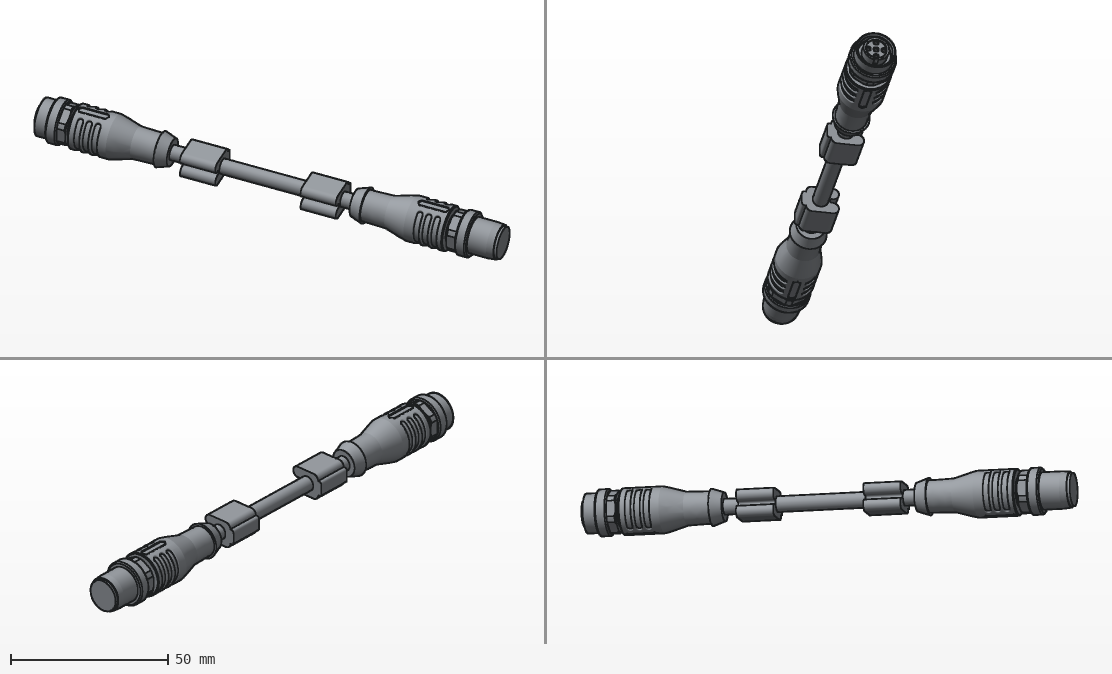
import cadquery as cq
import math


total_length = 160.4
cable_dia = 5.1
socket_body_back = 46.0
plug_body_back = 109.2
clip_starts = (51.2, 92.9)

grip_dia = 15.0
body_length = 33.2
flare_end = 4.0
flare_small_dia = 9.3
flare_large_dia = 12.0
sleeve_dia = 10.5
waist = 12.4
waist_dia = 10.9
shoulder = 19.9
shoulder_mid_dia = 13.2
grip_edge = 0.3

groove_floor_dia = 13.8
groove_width = 2.0
groove_pitch = 3.0
groove_first = 24.0
groove_count = 3
groove_end = 3.0
groove_edge_radius = 0.3
recess_floor = 7.0
recess_width = 2.4
recess_start = 21.8
recess_length = 10.7
recess_point = 0.8

neck_dia = 9.3
ring_dia = 15.0
ring_length = 3.8
ring_chamfer = 0.5
hex_flats = 12.8
hex_corner_dia = 13.8
hex_bevel = 0.3

socket_dia = 8.3
socket_face_dia = 6.7
socket_face_depth = 0.5
collar_start = 1.0
collar_dia = 12.8
collar_mouth_dia = 12.4
collar_bore_dia = 11.2
collar_bore_depth = 2.9
socket_ring_start = 5.0
socket_hex_length = 2.9
seal_outer_dia = 10.7
seal_section_dia = 1.3
contact_hole_dia = 1.15
contact_mouth_dia = 1.8
contact_hole_depth = 4.8
contact_circle_dia = 5.1
contact_count = 4
keyway_dia = 1.3

plug_ring_end = 150.5
plug_hex_length = 3.2
thread_dia = 12.0
thread_end = 157.0
tip_cone_dia = 11.5
tip_dia = 10.7
tip_start = 159.5

clip_length = 12.2
clip_height = 9.1
clip_width = 12.0
clip_lobe = 2.0
clip_flat_end = 2.7
clip_lip_radius = 1.0
clip_slot_floor = -3.0


def rod(dia, start, end):
    """Cylinder along X between two stations."""
    return cq.Workplane("YZ").workplane(offset=start).circle(dia / 2).extrude(end - start)


def cone(start_dia, end_dia, start, end):
    """Truncated cone along X between two stations."""
    return (
        cq.Workplane("YZ").workplane(offset=start).circle(start_dia / 2)
        .workplane(offset=end - start).circle(end_dia / 2).loft()
    )


def body_blank():
    """Body of revolution with its cable end at x = 0 and its grip toward +X."""
    grip_radius = grip_dia / 2
    return (
        cq.Workplane("XY")
        .moveTo(0, 0)
        .lineTo(0, flare_small_dia / 2)
        .lineTo(flare_end, flare_large_dia / 2)
        .lineTo(flare_end, sleeve_dia / 2)
        .lineTo(waist, waist_dia / 2)
        .threePointArc(((waist + shoulder) / 2, shoulder_mid_dia / 2), (shoulder, grip_radius))
        .lineTo(body_length - grip_edge, grip_radius)
        .lineTo(body_length, grip_radius - grip_edge)
        .lineTo(body_length, 0)
        .close()
        .revolve(360, (0, 0, 0), (1, 0, 0))
    )


def finger_grooves():
    """Cutter for the shallow grooves around both flanks; each groove has round ends."""
    slots = cq.Workplane("XY")
    for index in range(groove_count):
        for side in (1, -1):
            slot = (
                cq.Workplane("XY")
                .center(groove_first + index * groove_pitch, side * (groove_end + grip_dia / 2))
                .slot2D(grip_dia, groove_width, 90)
                .extrude(grip_dia / 2, both=True)
            )
            slots = slots.add(slot)
    shell = rod(grip_dia + 1.6, 0, body_length).cut(rod(groove_floor_dia, 0, body_length))
    return slots.combine().intersect(shell)


def is_groove_rim(edge):
    """True for a groove edge that lies on the grip's outer surface."""
    start_of_rims = groove_first - groove_width
    end_of_rims = groove_first + (groove_count - 1) * groove_pitch + groove_width
    if edge.geomType() == "LINE" or not start_of_rims < edge.Center().x < end_of_rims:
        return False
    tolerance = 0.02
    for fraction in (0.1, 0.4, 0.9):
        point = edge.positionAt(fraction)
        if abs(math.hypot(point.y, point.z) - grip_dia / 2) > tolerance:
            return False
    return True


def flat_recesses():
    """Cutter for the flat-floored recesses with pointed ends, above and below."""
    half = recess_width / 2
    end = recess_start + recess_length
    outline = [
        (recess_start, 0),
        (recess_start + recess_point, half),
        (end - recess_point, half),
        (end, 0),
        (end - recess_point, -half),
        (recess_start + recess_point, -half),
    ]
    upper = (
        cq.Workplane("XY").workplane(offset=recess_floor)
        .polyline(outline).close().extrude(grip_dia / 2 - recess_floor)
    )
    return upper.union(upper.mirror("XY"))


def moulded_body():
    """Complete moulded body with rounded groove rims."""
    grooved = body_blank().cut(finger_grooves())
    rims = [edge for edge in grooved.edges().vals() if is_groove_rim(edge)]
    return grooved.newObject(rims).fillet(groove_edge_radius).cut(flat_recesses())


def hexagon(start, end, bevelled_end):
    """Hexagon with flats facing +-Y and rounded corners, bevelled at one end."""
    prism = (
        cq.Workplane("YZ").workplane(offset=start)
        .transformed(rotate=(0, 0, 90))
        .polygon(6, hex_flats / math.cos(math.pi / 6))
        .extrude(end - start)
    )
    corners = rod(hex_corner_dia, start, end).faces(bevelled_end).chamfer(hex_bevel)
    return prism.intersect(corners)


def ring(start):
    """Chamfered coupling ring."""
    return rod(ring_dia, start, start + ring_length).edges("%CIRCLE").chamfer(ring_chamfer)


def seal(seat):
    """Sealing ring around the socket insert, half sunk into its seat."""
    centre_radius = (seal_outer_dia - seal_section_dia) / 2
    return cq.Workplane("XY").add(
        cq.Solid.makeTorus(centre_radius, seal_section_dia / 2, cq.Vector(seat, 0, 0), cq.Vector(1, 0, 0))
    )


def socket_nut(bore_end):
    """Coupling nut at the -X end, bored from the front."""
    ring_end = socket_ring_start + ring_length
    mouth_depth = (collar_mouth_dia - collar_bore_dia) / 2
    nut = rod(collar_dia, collar_start, socket_ring_start)
    nut = nut.cut(rod(collar_bore_dia, collar_start, bore_end))
    nut = nut.cut(cone(collar_mouth_dia, collar_bore_dia, collar_start, collar_start + mouth_depth))
    nut = nut.union(ring(socket_ring_start))
    nut = nut.union(hexagon(ring_end, ring_end + socket_hex_length, ">X"))
    return nut.union(rod(neck_dia, ring_end, socket_body_back - body_length))


def socket_end():
    """Coupling nut, sealing ring and socket insert with its contact holes."""
    bore_end = collar_start + collar_bore_depth
    end = socket_nut(bore_end).union(rod(socket_dia, 0, socket_ring_start)).union(seal(bore_end))
    end = end.cut(rod(socket_face_dia, 0, socket_face_depth))

    mouth_depth = (contact_mouth_dia - contact_hole_dia) / 2
    mouth_end = socket_face_depth + mouth_depth
    hole = rod(contact_hole_dia, socket_face_depth, contact_hole_depth)
    hole = hole.union(cone(contact_mouth_dia, contact_hole_dia, socket_face_depth, mouth_end))
    end = end.cut(hole)
    contact = hole.translate((0, contact_circle_dia / 2, 0))
    for index in range(contact_count):
        end = end.cut(contact.rotate((0, 0, 0), (1, 0, 0), index * 360 / contact_count))

    keyway = rod(keyway_dia, 0, bore_end - seal_section_dia / 2)
    return end.cut(keyway.translate((0, 0, -socket_dia / 2)))


def plug_end():
    """Coupling nut and nose at the +X end."""
    ring_start = plug_ring_end - ring_length
    end = ring(ring_start)
    end = end.union(hexagon(ring_start - plug_hex_length, ring_start, "<X"))
    end = end.union(rod(neck_dia, plug_body_back + body_length, ring_start))
    end = end.union(rod(thread_dia, ring_start, thread_end))
    end = end.union(cone(thread_dia, tip_cone_dia, thread_end, tip_start))
    return end.union(rod(tip_dia, tip_start, total_length))


def clip(start):
    """Cable clip: two round lobes with a slot between them at -Y, a raised lip at +Y."""
    diagonal = math.sqrt(0.5)
    side = clip_width / 2
    top = clip_height / 2
    lobe_height = top - clip_lobe
    lobe_y = clip_lobe - side
    slot_half = top - 2 * clip_lobe
    slot_bend = slot_half * (1 - diagonal)
    lip_bend = clip_lip_radius * (1 - diagonal)
    upper_half = (
        cq.Workplane("YZ").workplane(offset=start)
        .moveTo(clip_slot_floor, 0)
        .threePointArc(
            (clip_slot_floor - slot_bend, slot_half * diagonal),
            (clip_slot_floor - slot_half, slot_half),
        )
        .lineTo(lobe_y, slot_half)
        .threePointArc((-side, lobe_height), (lobe_y, top))
        .lineTo(clip_flat_end, top)
        .threePointArc(
            (clip_flat_end + clip_lobe * diagonal, lobe_height + clip_lobe * diagonal),
            (clip_flat_end + clip_lobe, lobe_height),
        )
        .lineTo(side - clip_lip_radius, lobe_height)
        .threePointArc((side - lip_bend, lobe_height - lip_bend), (side, lobe_height - clip_lip_radius))
        .lineTo(side, 0)
        .close()
        .extrude(clip_length)
    )
    return upper_half.union(upper_half.mirror("XY"))


body = moulded_body()
socket_body = body.rotate((0, 0, 0), (0, 0, 1), 180).translate((socket_body_back, 0, 0))
plug_body = body.translate((plug_body_back, 0, 0))

result = rod(cable_dia, socket_body_back, plug_body_back)
for piece in (socket_body, plug_body, socket_end(), plug_end()):
    result = result.union(piece)
for clip_start in clip_starts:
    result = result.union(clip(clip_start))
result = result.solids()